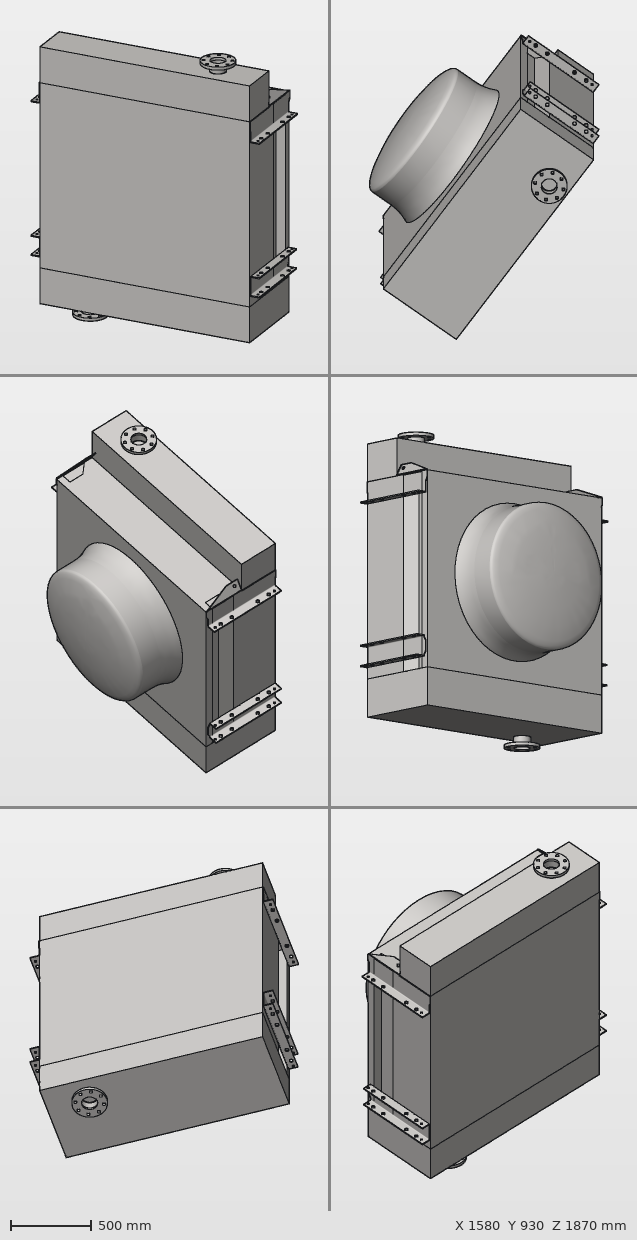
import cadquery as cq
import math


BLOCK_WIDTH = 1451.0
BLOCK_DEPTH = 561.0
BLOCK_HEIGHT = 1245.0
HALF_WIDTH = BLOCK_WIDTH / 2
HALF_HEIGHT = BLOCK_HEIGHT / 2

RECESS_DEPTH = 67.0
RECESS_FRONT = 338.0
RECESS_BACK = 510.0
COVER_THICKNESS = 4.0

TOTAL_DEPTH = 930.0
RING_RADIUS = 464.0
FLARE_LENGTH = 145.0
FLARE_WIDTH = 34.0
DOME_HEIGHT = 80.0
FLARE_END = BLOCK_DEPTH + FLARE_LENGTH
DOME_START = TOTAL_DEPTH - DOME_HEIGHT

TANK_HEIGHT = 241.0
TOP_TANK_DEPTH = 275.0
TOTAL_HEIGHT = 1870.0
TANK_END = HALF_HEIGHT + TANK_HEIGHT
CONNECTION_LENGTH = TOTAL_HEIGHT / 2 - TANK_END
PIPE_X = 441.0
PIPE_Y = 135.0
PIPE_DIAMETER = 108.0
BORE_DIAMETER = 100.0
FLANGE_DIAMETER = 223.0
FLANGE_THICKNESS = 20.0
BOLT_CIRCLE_DIAMETER = 180.0
BOLT_HOLE_DIAMETER = 19.0
BOLT_HOLE_COUNT = 8

TOTAL_WIDTH = 1580.0
SHEET = 5.0
SHELF_SHEET = 7.0
BEND_INSIDE = 5.0
BEND_OUTSIDE = BEND_INSIDE + SHEET
BRACKET_OUTSIDE = HALF_WIDTH + SHEET
SHELF_WIDTH = TOTAL_WIDTH / 2 - HALF_WIDTH
SHELF_FRONT = 5.0
SHELF_BACK = 548.0
SHELF_MIDDLE = BLOCK_DEPTH / 2
SHELF_HOLE_X = 765.0
SHELF_HOLES = [(105.0, 22.0), (195.0, 22.0), (240.0, 13.0)]

UPPER_SHELF_BOTTOM = 480.0
LEG_FULL_BOTTOM = 578.0
LEG_TAPER_BOTTOM = 554.0
EAR_RISE = 7.0
EAR_LENGTH = 80.0
EAR_GAP = 2.0
EAR_FRONT = TOP_TANK_DEPTH + EAR_GAP
EAR_SHOULDER = 368.0
EAR_BACK = 557.0
EAR_LEAN = 30.0
EAR_HOLE_Y = 312.0
EAR_HOLE_HEIGHT = 49.0
EAR_HOLE_DIAMETER = 19.0

CHANNEL_TOP = -417.0
CHANNEL_BOTTOM = -554.0
CHANNEL_SHELF_BACK = 535.0
CORNER_START = 15.0
CORNER_END = 35.0


def box(x, y, z):
    """Box between the two limits given for each axis."""
    size = (x[1] - x[0], y[1] - y[0], z[1] - z[0])
    return cq.Workplane("XY").box(*size, centered=False).translate((x[0], y[0], z[0]))


def mirrored(part):
    """The same part on the opposite side, across the plane X = 0."""
    return part.mirror("YZ")



def make_side_recess():
    """Recess in the -X side, open at the side and slanted at 45 degrees in front."""
    floor = -HALF_WIDTH + RECESS_DEPTH
    return (
        cq.Workplane("XY")
        .workplane(offset=-HALF_HEIGHT)
        .moveTo(-HALF_WIDTH, RECESS_FRONT)
        .lineTo(floor, RECESS_FRONT + RECESS_DEPTH)
        .lineTo(floor, RECESS_BACK)
        .lineTo(-HALF_WIDTH, RECESS_BACK)
        .close()
        .extrude(BLOCK_HEIGHT - COVER_THICKNESS)
    )


def make_fan_guard():
    """Flared ring closed by a shallow elliptical dome, turned about the Y axis."""
    flare_arc_radius = (FLARE_LENGTH**2 + FLARE_WIDTH**2) / (2 * FLARE_WIDTH)

    def dome_point(angle):
        return (DOME_START + DOME_HEIGHT * math.sin(angle), RING_RADIUS * math.cos(angle))

    profile = (
        cq.Workplane("YZ")
        .moveTo(BLOCK_DEPTH, 0)
        .lineTo(BLOCK_DEPTH, RING_RADIUS + FLARE_WIDTH)
        .radiusArc((FLARE_END, RING_RADIUS), -flare_arc_radius)
        .lineTo(DOME_START, RING_RADIUS)
        .parametricCurve(dome_point, stop=math.pi / 2, makeWire=False)
        .close()
    )
    return profile.revolve(360, (0, 0), (1, 0))


def make_radiator():
    block = box((-HALF_WIDTH, HALF_WIDTH), (0, BLOCK_DEPTH), (-HALF_HEIGHT, HALF_HEIGHT))
    recess = make_side_recess()
    return block.cut(recess).cut(mirrored(recess)).union(make_fan_guard())



def make_connection():
    """Flanged pipe standing on Z = 0, with its bore and bolt holes."""
    pipe = cq.Workplane("XY").circle(PIPE_DIAMETER / 2).extrude(CONNECTION_LENGTH)
    flange = (
        cq.Workplane("XY")
        .workplane(offset=CONNECTION_LENGTH - FLANGE_THICKNESS)
        .circle(FLANGE_DIAMETER / 2)
        .extrude(FLANGE_THICKNESS)
    )
    bore = cq.Workplane("XY").circle(BORE_DIAMETER / 2).extrude(CONNECTION_LENGTH)
    bolt_holes = (
        cq.Workplane("XY")
        .polarArray(BOLT_CIRCLE_DIAMETER / 2, 180 / BOLT_HOLE_COUNT, 360, BOLT_HOLE_COUNT)
        .circle(BOLT_HOLE_DIAMETER / 2)
        .extrude(CONNECTION_LENGTH)
    )
    return pipe.union(flange).cut(bore).cut(bolt_holes)


def make_top_tank():
    tank = box((-HALF_WIDTH, HALF_WIDTH), (0, TOP_TANK_DEPTH), (HALF_HEIGHT, TANK_END))
    return tank.union(make_connection().translate((PIPE_X, PIPE_Y, TANK_END)))


def make_bottom_tank():
    tank = box((-HALF_WIDTH, HALF_WIDTH), (0, BLOCK_DEPTH), (-TANK_END, -HALF_HEIGHT))
    connection = make_connection().mirror("XY")
    return tank.union(connection.translate((-PIPE_X, PIPE_Y, -TANK_END)))



def make_shelf(bottom, back):
    """Horizontal strip standing out from the side, drilled along its length."""
    side = (HALF_WIDTH, HALF_WIDTH + SHELF_WIDTH)
    shelf = box(side, (SHELF_FRONT, back), (bottom, bottom + SHELF_SHEET))
    for distance, diameter in SHELF_HOLES:
        for y in (SHELF_MIDDLE - distance, SHELF_MIDDLE + distance):
            hole = cq.Workplane("XY").circle(diameter / 2).extrude(SHELF_SHEET)
            shelf = shelf.cut(hole.translate((SHELF_HOLE_X, y, bottom)))
    return shelf


def edges_along_y(x, z):
    """Selector for the edges lying on the line through (x, z) parallel to Y."""
    reach = SHEET / 4
    return cq.selectors.BoxSelector((x - reach, 0, z - reach), (x + reach, BLOCK_DEPTH, z + reach))


def round_bend(bracket, outside_z, inside_z):
    """Round the bend between a leg and a shelf with the given outside and inside faces."""
    outside_edge = edges_along_y(HALF_WIDTH, outside_z)
    inside_edge = edges_along_y(BRACKET_OUTSIDE, inside_z)
    bracket = bracket.edges("|Y").edges(inside_edge).fillet(BEND_INSIDE)
    return bracket.edges("|Y").edges(outside_edge).fillet(BEND_OUTSIDE)


def make_ear():
    """Tapered lifting ear that leans inward from the top of the leg."""
    ear = (
        cq.Workplane("YZ")
        .polyline([(EAR_FRONT, 0), (EAR_BACK, 0), (EAR_SHOULDER, EAR_LENGTH), (EAR_FRONT, EAR_LENGTH)])
        .close()
        .extrude(-SHEET)
    )
    hole = (
        cq.Workplane("YZ")
        .center(EAR_HOLE_Y, EAR_HOLE_HEIGHT)
        .circle(EAR_HOLE_DIAMETER / 2)
        .extrude(-SHEET)
    )
    return ear.cut(hole).rotate((0, 0, 0), (0, 1, 0), -EAR_LEAN)


def make_upper_bracket():
    leg_outline = [
        (0, HALF_HEIGHT),
        (EAR_FRONT, HALF_HEIGHT),
        (EAR_FRONT, HALF_HEIGHT + EAR_RISE),
        (EAR_BACK, HALF_HEIGHT + EAR_RISE),
        (BLOCK_DEPTH, HALF_HEIGHT),
        (BLOCK_DEPTH, LEG_FULL_BOTTOM),
        (SHELF_BACK, LEG_TAPER_BOTTOM),
        (SHELF_BACK, UPPER_SHELF_BOTTOM),
        (SHELF_FRONT, UPPER_SHELF_BOTTOM),
        (SHELF_FRONT, LEG_TAPER_BOTTOM),
        (0, LEG_TAPER_BOTTOM),
    ]
    leg = cq.Workplane("YZ").workplane(offset=HALF_WIDTH).polyline(leg_outline).close().extrude(SHEET)
    ear = make_ear().translate((BRACKET_OUTSIDE, 0, HALF_HEIGHT + EAR_RISE))
    bracket = leg.union(make_shelf(UPPER_SHELF_BOTTOM, SHELF_BACK))
    bracket = round_bend(bracket, UPPER_SHELF_BOTTOM, UPPER_SHELF_BOTTOM + SHELF_SHEET)
    return bracket.union(ear)


def make_lower_bracket():
    """Channel with two shelves and a web whose back corners are cut off."""
    web_outline = [
        (SHELF_FRONT, CHANNEL_BOTTOM),
        (CHANNEL_SHELF_BACK, CHANNEL_BOTTOM),
        (CHANNEL_SHELF_BACK, CHANNEL_BOTTOM + CORNER_START),
        (SHELF_BACK, CHANNEL_BOTTOM + CORNER_END),
        (SHELF_BACK, CHANNEL_TOP - CORNER_END),
        (CHANNEL_SHELF_BACK, CHANNEL_TOP - CORNER_START),
        (CHANNEL_SHELF_BACK, CHANNEL_TOP),
        (SHELF_FRONT, CHANNEL_TOP),
    ]
    web = cq.Workplane("YZ").workplane(offset=HALF_WIDTH).polyline(web_outline).close().extrude(SHEET)
    lower_shelf = make_shelf(CHANNEL_BOTTOM, CHANNEL_SHELF_BACK)
    upper_shelf = make_shelf(CHANNEL_TOP - SHELF_SHEET, CHANNEL_SHELF_BACK)
    channel = web.union(lower_shelf).union(upper_shelf)
    channel = round_bend(channel, CHANNEL_BOTTOM, CHANNEL_BOTTOM + SHELF_SHEET)
    return round_bend(channel, CHANNEL_TOP, CHANNEL_TOP - SHELF_SHEET)


radiator = make_radiator()
top_tank = make_top_tank()
bottom_tank = make_bottom_tank()

brackets = []
for bracket in (make_upper_bracket(), make_lower_bracket()):
    brackets.append(bracket.val())
    brackets.append(mirrored(bracket).val())

result = cq.Compound.makeCompound([radiator.val(), top_tank.val(), bottom_tank.val(), *brackets])